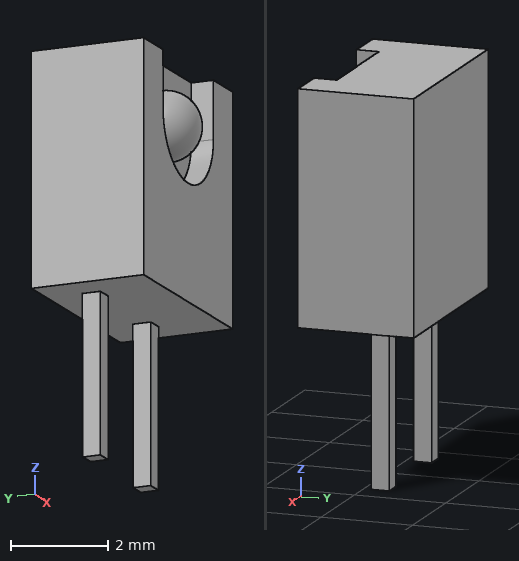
import cadquery as cq

lead_pitch = 2.54
body_width = 4.505
body_depth = lead_pitch
body_height = 2 * lead_pitch
total_height = 8.58
lead_side = 0.4
lead_setback = 1.53
lens_radius = 0.75
recess_depth = 0.5

lead_length = total_height - body_height
recess_radius = lead_pitch / 2
lens_z = body_height - recess_radius


def make_body():
    """Plain block: front face at Y = 0, underside at Z = 0, centred on X."""
    return cq.Workplane("XY").box(body_width, body_depth, body_height, centered=(True, False, False))


def make_recess():
    """U-shaped recess volume, open at the front and at the top of the body."""
    return (
        cq.Workplane("XZ")
        .moveTo(-recess_radius, body_height)
        .lineTo(-recess_radius, lens_z)
        .threePointArc((0, lens_z - recess_radius), (recess_radius, lens_z))
        .lineTo(recess_radius, body_height)
        .close()
        .extrude(-recess_depth)
    )


def make_lens():
    """Ball centred on the recess floor, so half of it stands proud of the floor."""
    return cq.Workplane("XY").sphere(lens_radius).translate((0, recess_depth, lens_z))


def make_leads():
    """Two square leads hanging from the underside of the body."""
    lead_centres = [(side * lead_pitch / 2, lead_setback) for side in (-1, 1)]
    return (
        cq.Workplane("XY")
        .pushPoints(lead_centres)
        .rect(lead_side, lead_side)
        .extrude(-lead_length)
    )


result = make_body().cut(make_recess()).union(make_lens()).union(make_leads())